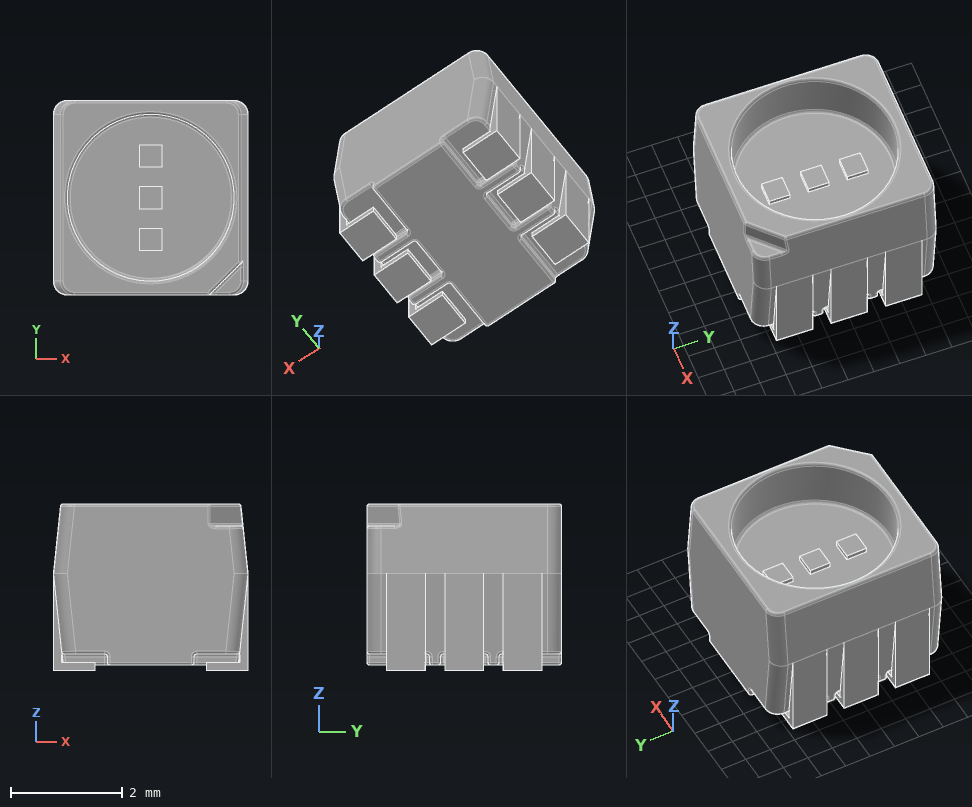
import cadquery as cq
import math

LENGTH = 3.5
WIDTH = 3.5
HEIGHT = 3.0
PARTING_Z = 1.75
STANDOFF = 0.1
DRAFT = math.radians(6.0)
CORNER_RADIUS = 0.25
EDGE_RADIUS = 0.05

LEAD_WIDTH = 0.7
LEAD_PITCH = 1.05
LEAD_THICKNESS = 0.15
FOOT_LENGTH = 0.75
LEAD_POSITIONS = (-LEAD_PITCH, 0.0, LEAD_PITCH)

POCKET_CEILING_Z = 0.3
POCKET_END_X = 0.78
POCKET_CLEARANCE = 0.075

CAVITY_DIAMETER = 3.0
CAVITY_DEPTH = 1.0
CHIP_SIZE = 0.4
CHIP_HEIGHT = 0.1
CHIP_PITCH = 0.75
CHIP_COUNT = 3

NOTCH_LEG = 0.7
NOTCH_DEPTH = 0.4
NOTCH_DIRECTION = -45.0

OVERCUT = 1.0
SHARP_ANGLE = 10.0


def body_half(end_z):
    """Half of the body, tapering along X from the parting line to end_z."""
    wide = LENGTH / 2
    narrow = wide - abs(end_z - PARTING_Z) * math.tan(DRAFT)
    profile = [(-wide, PARTING_Z), (wide, PARTING_Z), (narrow, end_z), (-narrow, end_z)]
    half = cq.Workplane("XZ").polyline(profile).close().extrude(WIDTH / 2, both=True)
    return half.edges("not(#Z or |Y)").fillet(CORNER_RADIUS)


def pocket_cutter(lead_y, side):
    """Round-cornered block around one lead foot; the outer ones run out through the Y sides."""
    inner_reach = LEAD_WIDTH / 2 + POCKET_CLEARANCE
    low_y = lead_y - inner_reach
    high_y = lead_y + inner_reach
    if lead_y < 0:
        low_y = -WIDTH / 2 - OVERCUT
    if lead_y > 0:
        high_y = WIDTH / 2 + OVERCUT
    length = LENGTH / 2 + OVERCUT - POCKET_END_X
    height = POCKET_CEILING_Z + OVERCUT
    block = cq.Workplane("XY").box(length, high_y - low_y, height)
    block = block.edges("|Z or >Z").fillet(EDGE_RADIUS)
    center_x = side * (POCKET_END_X + length / 2)
    return block.translate((center_x, (low_y + high_y) / 2, POCKET_CEILING_Z - height / 2))


def cavity_cutter():
    """Round cavity with a filleted floor."""
    cutter = cq.Workplane("XY").circle(CAVITY_DIAMETER / 2).extrude(CAVITY_DEPTH + OVERCUT)
    cutter = cutter.faces("<Z").edges().fillet(EDGE_RADIUS)
    return cutter.translate((0, 0, HEIGHT - CAVITY_DEPTH))


def notch_cutter():
    """Diagonal block that removes the top of one corner, with a filleted floor."""
    span = 2 * (NOTCH_LEG + OVERCUT)
    block = cq.Workplane("XY").box(span, span, NOTCH_DEPTH + OVERCUT, centered=(False, True, False))
    block = block.faces("<Z").edges().fillet(EDGE_RADIUS)
    block = block.rotate((0, 0, 0), (0, 0, 1), NOTCH_DIRECTION)
    wall_x = LENGTH / 2 - NOTCH_LEG / 2
    wall_y = -WIDTH / 2 + NOTCH_LEG / 2
    return block.translate((wall_x, wall_y, HEIGHT - NOTCH_DEPTH))


def sharp_edges(solid):
    """Edges whose two faces meet at an angle, apart from those on the parting line."""
    found = []
    for edge in solid.Edges():
        middle = edge.positionAt(0.5)
        faces = edge.ancestors(solid, "Face").Faces()
        if len(faces) != 2 or abs(middle.z - PARTING_Z) < EDGE_RADIUS:
            continue
        normals = [face.normalAt(middle) for face in faces]
        if math.degrees(normals[0].getAngle(normals[1])) > SHARP_ANGLE:
            found.append(edge)
    return found


def lead(lead_y, side):
    """L-shaped lead: an upright against the body and a foot turned in underneath."""
    outer = LENGTH / 2
    inner = outer - LEAD_THICKNESS
    toe = outer - FOOT_LENGTH
    profile = [
        (side * outer, 0),
        (side * outer, PARTING_Z),
        (side * inner, PARTING_Z),
        (side * inner, LEAD_THICKNESS),
        (side * toe, LEAD_THICKNESS),
        (side * toe, 0),
    ]
    strip = cq.Workplane("XZ").polyline(profile).close().extrude(LEAD_WIDTH / 2, both=True)
    return strip.translate((0, lead_y, 0))


def make_body():
    """Moulded body with its pockets, cavity and notch, sharp edges rounded except at the parting line."""
    body = body_half(HEIGHT).union(body_half(STANDOFF))
    for side in (-1, 1):
        for lead_y in LEAD_POSITIONS:
            body = body.cut(pocket_cutter(lead_y, side))
    body = body.cut(cavity_cutter()).cut(notch_cutter())
    solid = body.val().Solids()[0]
    return cq.Workplane(solid.fillet(EDGE_RADIUS, sharp_edges(solid)))


def make_chips():
    """Row of square chips on the cavity floor."""
    floor = cq.Workplane("XY").workplane(offset=HEIGHT - CAVITY_DEPTH)
    row = floor.rarray(CHIP_PITCH, CHIP_PITCH, 1, CHIP_COUNT)
    return row.rect(CHIP_SIZE, CHIP_SIZE).extrude(CHIP_HEIGHT)


result = make_body().union(make_chips())
for lead_side in (-1, 1):
    for position in LEAD_POSITIONS:
        result = result.union(lead(position, lead_side))